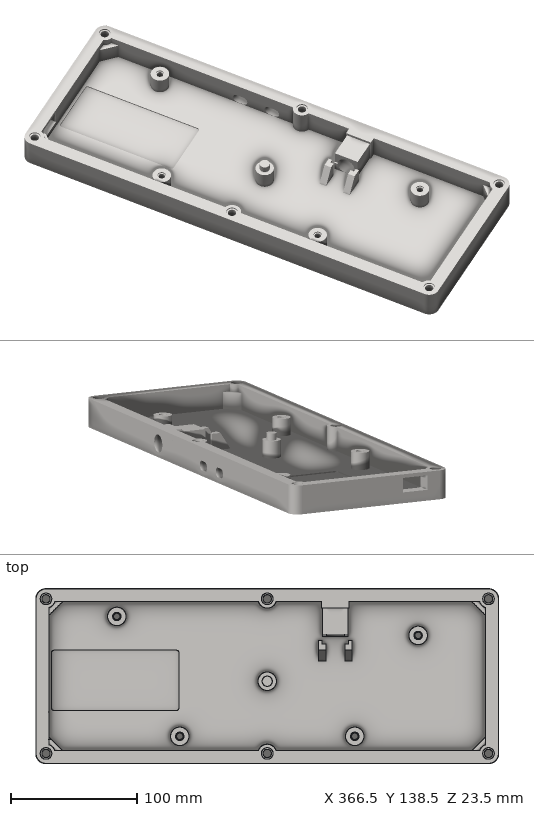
import cadquery as cq

LENGTH = 366.5
WIDTH = 138.5
HEIGHT = 23.5
WALL = 10.3
FLOOR = 4.0
CORNER_RADIUS = 8.0

MOUTH_DEPTH = 1.0

SCREW_INSET = CORNER_RADIUS
SCREW_BOSS_DIAMETER = 14.5
SCREW_HOLE_DIAMETER = 6.5
SCREW_MOUTH_DIAMETER = 9.0
SCREW_HOLE_DEPTH = 14.5

GUSSET_LEG = 11.0
GUSSET_TOP = 17.5

POST_DIAMETER = 14.5
POST_TOP = 18.0
POST_HOLE_DIAMETER = 5.0
POST_MOUTH_DIAMETER = 6.5
POST_HOLE_DEPTH = 11.0
POST_POSITIONS = [(-119.0, 47.3), (119.5, 32.2), (-69.2, -47.5), (69.2, -47.5)]

PIN_POST_Y = -4.0
PIN_DIAMETER = 8.0
PIN_HEIGHT = 5.5

RECESS_LENGTH = 100.8
RECESS_WIDTH = 47.5
RECESS_DEPTH = 1.0
RECESS_RADIUS = 2.0
RECESS_GAP = 2.2
RECESS_Y = -3.3

BLOCK_X = 54.0
BLOCK_ROOT_WIDTH = 22.0
BLOCK_ROOT_DEPTH = 5.0
BLOCK_WIDTH = 20.0
BLOCK_DEPTH = 27.5
BLOCK_LIP = 1.0
BLOCK_TOP = 21.3
BORE_DIAMETER = 14.3
BORE_Z = FLOOR + BORE_DIAMETER / 2

ARM_SPAN = 26.7
ARM_THICKNESS = 6.0
ARM_GAP = 3.3
ARM_LENGTH = 16.0
ARM_FLAT = 7.5
ARM_TOP = 17.5
ARM_NOTCH_WIDTH = 3.0
ARM_NOTCH_LENGTH = 3.0

SLOT_Y = -39.2
SLOT_WIDTH = 22.0
SLOT_BOTTOM = 8.8
SLOT_TOP = 20.5
PORT_WIDTH = 13.0
PORT_HEIGHT = 8.0
PORT_Z = 8.5
PORT_XS = (-54.0, -25.5)

CAVITY_X = LENGTH / 2 - WALL
CAVITY_Y = WIDTH / 2 - WALL
BLOCK_FRONT = CAVITY_Y - BLOCK_DEPTH
SCREW_X = LENGTH / 2 - SCREW_INSET
SCREW_Y = WIDTH / 2 - SCREW_INSET
SCREW_POSITIONS = [(x, y) for x in (-SCREW_X, 0, SCREW_X) for y in (-SCREW_Y, SCREW_Y)]


def box(x_min, x_max, y_min, y_max, z_min, z_max):
    """Box given by its limits along each axis."""
    size = (x_max - x_min, y_max - y_min, z_max - z_min)
    return cq.Workplane("XY").box(*size, centered=False).translate((x_min, y_min, z_min))


def columns(points, diameter, z_min, z_max):
    """Upright cylinders at the given points."""
    plane = cq.Workplane("XY").workplane(offset=z_min)
    return plane.pushPoints(points).circle(diameter / 2).extrude(z_max - z_min)


def stepped_holes(points, diameter, mouth_diameter, depth, top):
    """Blind holes with a wider mouth, cut down from the given level."""
    holes = columns(points, diameter, top - depth, top)
    return holes.union(columns(points, mouth_diameter, top - MOUTH_DEPTH, top))


def make_shell():
    shell = cq.Workplane("XY").box(LENGTH, WIDTH, HEIGHT, centered=(True, True, False))
    shell = shell.edges("|Z").fillet(CORNER_RADIUS)
    return shell.cut(box(-CAVITY_X, CAVITY_X, -CAVITY_Y, CAVITY_Y, FLOOR, HEIGHT))


def make_gussets():
    gussets = cq.Workplane("XY")
    for side_x in (-1, 1):
        for side_y in (-1, 1):
            corner_x = side_x * CAVITY_X
            corner_y = side_y * CAVITY_Y
            outline = [
                (corner_x, corner_y),
                (corner_x - side_x * GUSSET_LEG, corner_y),
                (corner_x, corner_y - side_y * GUSSET_LEG),
            ]
            gussets = gussets.add(cq.Workplane("XY").polyline(outline).close().extrude(GUSSET_TOP))
    return gussets.combine()


def make_pin_post():
    centre = [(0, PIN_POST_Y)]
    post = columns(centre, POST_DIAMETER, 0, POST_TOP)
    pin = columns(centre, PIN_DIAMETER, POST_TOP, POST_TOP + PIN_HEIGHT)
    return post.union(pin)


def make_recess():
    start_x = -CAVITY_X + RECESS_GAP
    recess = box(
        start_x, start_x + RECESS_LENGTH,
        RECESS_Y - RECESS_WIDTH / 2, RECESS_Y + RECESS_WIDTH / 2,
        FLOOR - RECESS_DEPTH, FLOOR,
    )
    return recess.edges("|Z").fillet(RECESS_RADIUS)


def make_cable_block():
    half_root = BLOCK_ROOT_WIDTH / 2
    half_block = BLOCK_WIDTH / 2
    root_y = CAVITY_Y - BLOCK_ROOT_DEPTH
    root = box(BLOCK_X - half_root, BLOCK_X + half_root, root_y, CAVITY_Y, 0, HEIGHT)
    side_profile = [
        (CAVITY_Y, 0),
        (BLOCK_FRONT, 0),
        (BLOCK_FRONT, BORE_Z),
        (BLOCK_FRONT + BLOCK_LIP, BORE_Z),
        (BLOCK_FRONT + BLOCK_LIP, BLOCK_TOP),
        (CAVITY_Y, BLOCK_TOP),
    ]
    plane = cq.Workplane("YZ", origin=(BLOCK_X - half_block, 0, 0))
    block = plane.polyline(side_profile).close().extrude(BLOCK_WIDTH)
    return root.union(block)


def make_cable_bore():
    plane = cq.Workplane("XZ", origin=(BLOCK_X, BLOCK_FRONT, BORE_Z))
    return plane.circle(BORE_DIAMETER / 2).extrude(-(WIDTH / 2 - BLOCK_FRONT))


def make_clip_arms():
    back = BLOCK_FRONT - ARM_GAP
    outer_x = BLOCK_X - ARM_SPAN / 2
    inner_x = outer_x + ARM_THICKNESS
    side_profile = [
        (back, 0),
        (back, ARM_TOP),
        (back - ARM_FLAT, ARM_TOP),
        (back - ARM_LENGTH, FLOOR),
        (back - ARM_LENGTH, 0),
    ]
    plane = cq.Workplane("YZ", origin=(outer_x, 0, 0))
    arm = plane.polyline(side_profile).close().extrude(ARM_THICKNESS)
    arm = arm.cut(box(inner_x - ARM_NOTCH_WIDTH, inner_x, back - ARM_NOTCH_LENGTH, back, FLOOR, ARM_TOP))
    return arm.union(arm.mirror("YZ", (BLOCK_X, 0, 0)))


def make_wall_openings():
    slot = box(
        -LENGTH / 2, GUSSET_LEG - CAVITY_X,
        SLOT_Y - SLOT_WIDTH / 2, SLOT_Y + SLOT_WIDTH / 2,
        SLOT_BOTTOM, SLOT_TOP,
    )
    plane = cq.Workplane("XZ", origin=(0, CAVITY_Y, PORT_Z))
    ports = plane.pushPoints([(x, 0) for x in PORT_XS]).slot2D(PORT_WIDTH, PORT_HEIGHT).extrude(-WALL)
    return slot.union(ports)


screw_holes = stepped_holes(
    SCREW_POSITIONS, SCREW_HOLE_DIAMETER, SCREW_MOUTH_DIAMETER, SCREW_HOLE_DEPTH, HEIGHT
)
post_holes = stepped_holes(
    POST_POSITIONS, POST_HOLE_DIAMETER, POST_MOUTH_DIAMETER, POST_HOLE_DEPTH, POST_TOP
)

result = (
    make_shell()
    .union(columns(SCREW_POSITIONS, SCREW_BOSS_DIAMETER, 0, HEIGHT))
    .union(make_gussets())
    .union(columns(POST_POSITIONS, POST_DIAMETER, 0, POST_TOP))
    .union(make_pin_post())
    .union(make_cable_block())
    .union(make_clip_arms())
    .cut(make_recess())
    .cut(make_cable_bore())
    .cut(make_wall_openings())
    .cut(screw_holes)
    .cut(post_holes)
)